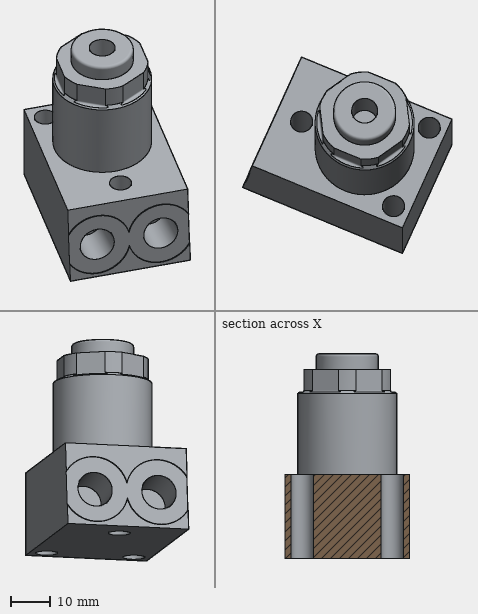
import cadquery as cq
import math

BLOCK_LENGTH = 44.45
BLOCK_WIDTH = 31.75
BLOCK_HEIGHT = 21.43
PORT_FACE_ANGLE = 7.0
TOTAL_HEIGHT = 52.2

MOUNT_HOLE_DIAMETER = 5.6
MOUNT_HOLE_REAR_X = 4.4
MOUNT_HOLE_REAR_Y = 11.45
MOUNT_HOLE_FRONT_X = 34.9

PORT_DIAMETER = 9.0
PORT_DEPTH = 12.0
PORT_OFFSET_Y = 8.4
PORT_CENTER_Z = 9.525
SPOTFACE_DIAMETER = 17.3
SPOTFACE_DEPTH = 0.25

STACK_X = 17.4
BODY_DIAMETER = 25.25
BODY_TOP_Z = 42.05
NUT_DIAMETER = 23.4
NUT_BOTTOM_Z = 42.8
NUT_TOP_Z = 48.2
CAP_DIAMETER = 15.875
CAP_EDGE_RADIUS = 0.75
BORE_DIAMETER = 6.6
BORE_DEPTH = 10.0

FLAT_COUNT = 6
ACROSS_FLATS = 22.15
FLAT_ROOT_RADIUS = 0.4


def make_block():
    """Block with a trapezoidal side outline."""
    lean = BLOCK_HEIGHT * math.tan(math.radians(PORT_FACE_ANGLE))
    outline = [
        (0, 0),
        (BLOCK_LENGTH, 0),
        (BLOCK_LENGTH - lean, BLOCK_HEIGHT),
        (0, BLOCK_HEIGHT),
    ]
    return cq.Workplane("XZ").polyline(outline).close().extrude(BLOCK_WIDTH / 2, both=True)


def make_stack():
    """Body, nut and cap turned about one vertical axis, with a rounded cap edge."""
    body_radius = BODY_DIAMETER / 2
    nut_radius = NUT_DIAMETER / 2
    cap_radius = CAP_DIAMETER / 2
    profile = (
        cq.Workplane("XZ")
        .moveTo(0, BLOCK_HEIGHT)
        .lineTo(body_radius, BLOCK_HEIGHT)
        .lineTo(body_radius, BODY_TOP_Z)
        .lineTo(nut_radius, NUT_BOTTOM_Z)
        .lineTo(nut_radius, NUT_TOP_Z)
        .lineTo(cap_radius, NUT_TOP_Z)
        .lineTo(cap_radius, TOTAL_HEIGHT)
        .lineTo(0, TOTAL_HEIGHT)
        .close()
    )
    stack = profile.revolve(360, (0, 0, 0), (0, 1, 0))
    return stack.faces(">Z").edges().fillet(CAP_EDGE_RADIUS)


def make_flat_cutter():
    """Bar that mills the +Y wrench flat and leaves a rounded root at its foot."""
    flat_y = ACROSS_FLATS / 2
    root_y = flat_y + FLAT_ROOT_RADIUS
    root_z = NUT_BOTTOM_Z - FLAT_ROOT_RADIUS
    arc_reach = FLAT_ROOT_RADIUS * math.cos(math.radians(45))
    return (
        cq.Workplane("YZ")
        .moveTo(flat_y, NUT_TOP_Z)
        .lineTo(flat_y, NUT_BOTTOM_Z)
        .threePointArc((root_y - arc_reach, NUT_BOTTOM_Z - arc_reach), (root_y, root_z))
        .lineTo(BODY_DIAMETER, root_z)
        .lineTo(BODY_DIAMETER, NUT_TOP_Z)
        .close()
        .extrude(BODY_DIAMETER / 2, both=True)
    )


def cut_wrench_flats(stack):
    cutter = make_flat_cutter()
    for index in range(FLAT_COUNT):
        angle = index * 360 / FLAT_COUNT
        stack = stack.cut(cutter.rotate((0, 0, 0), (0, 0, 1), angle))
    return stack


def cut_center_bore(stack):
    """Blind bore down from the cap's top face."""
    bore = (
        cq.Workplane("XY", origin=(0, 0, TOTAL_HEIGHT))
        .circle(BORE_DIAMETER / 2)
        .extrude(-BORE_DEPTH)
    )
    return stack.cut(bore)


def cut_mount_holes(block):
    centers = [
        (MOUNT_HOLE_REAR_X, MOUNT_HOLE_REAR_Y),
        (MOUNT_HOLE_REAR_X, -MOUNT_HOLE_REAR_Y),
        (MOUNT_HOLE_FRONT_X, 0),
    ]
    holes = (
        cq.Workplane("XY")
        .pushPoints(centers)
        .circle(MOUNT_HOLE_DIAMETER / 2)
        .extrude(BLOCK_HEIGHT)
    )
    return block.cut(holes)


def cut_ports(block):
    """Spotfaced blind ports, square to the leaning face."""
    lean_angle = math.radians(PORT_FACE_ANGLE)
    face_x = BLOCK_LENGTH - PORT_CENTER_Z * math.tan(lean_angle)
    port_face = cq.Plane(
        origin=(face_x, 0, PORT_CENTER_Z),
        xDir=(0, 1, 0),
        normal=(math.cos(lean_angle), 0, math.sin(lean_angle)),
    )
    for offset in (-PORT_OFFSET_Y, PORT_OFFSET_Y):
        center = cq.Workplane(port_face).center(offset, 0)
        block = block.cut(center.circle(SPOTFACE_DIAMETER / 2).extrude(-SPOTFACE_DEPTH))
        block = block.cut(center.circle(PORT_DIAMETER / 2).extrude(-PORT_DEPTH))
    return block


block = cut_ports(cut_mount_holes(make_block()))
stack = cut_center_bore(cut_wrench_flats(make_stack()))
result = block.union(stack.translate((STACK_X, 0, 0)))